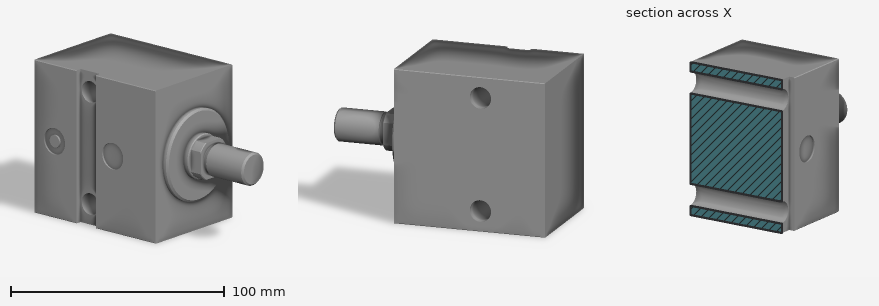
import cadquery as cq


BLOCK_SIDE = 75.0
BLOCK_DEPTH = 55.0
BLOCK_EDGE_CHAMFER = 0.3
FRONT_Y = -BLOCK_DEPTH / 2

SLOT_CENTRE_X = 32.0
SLOT_WIDTH = 12.0
SLOT_DEPTH = 3.0
MOUNT_HOLE_DIAMETER = 10.5
MOUNT_HOLE_SPACING = 55.0

REAR_PORT_X = 12.5
FRONT_PORT_X = 48.5
PORT_DIAMETER = 13.0
PORT_DEPTH = 1.0
PLUG_DIAMETER = 6.0

GLAND_DIAMETER = 45.0
GLAND_THICKNESS = 3.0
GLAND_CHAMFER = 1.0

ROD_START_X = BLOCK_SIDE
COLLAR_END_X = 81.0
WRENCH_END_X = 87.0
NECK_END_X = 89.5
ROD_TIP_X = 112.0
COLLAR_DIAMETER = 22.2
COLLAR_CHAMFER = 0.5
WRENCH_DIAMETER = 21.0
WRENCH_FLATS = 18.0
WRENCH_CHAMFER = 0.3
NECK_DIAMETER = 14.0
NECK_FILLET = 0.3
STUD_DIAMETER = 16.0
STUD_CHAMFER = 0.9


def x_cylinder(diameter, start_x, end_x):
    """Cylinder on the rod axis between two X positions."""
    return cq.Workplane("YZ", origin=(start_x, 0, 0)).circle(diameter / 2).extrude(end_x - start_x)


def front_cylinder(diameter, x, z, depth):
    """Cylinder that goes from the front face into the block along +Y."""
    return cq.Workplane("XZ", origin=(x, FRONT_Y, z)).circle(diameter / 2).extrude(-depth)


def make_housing():
    block = cq.Workplane("XY").box(BLOCK_SIDE, BLOCK_DEPTH, BLOCK_SIDE)
    block = block.translate((BLOCK_SIDE / 2, 0, 0)).edges("|X").chamfer(BLOCK_EDGE_CHAMFER)

    slot = cq.Workplane("XY").box(SLOT_WIDTH, 2 * SLOT_DEPTH, BLOCK_SIDE)
    block = block.cut(slot.translate((SLOT_CENTRE_X, FRONT_Y, 0)))

    for side in (-1, 1):
        hole_z = side * MOUNT_HOLE_SPACING / 2
        block = block.cut(front_cylinder(MOUNT_HOLE_DIAMETER, SLOT_CENTRE_X, hole_z, BLOCK_DEPTH))

    for port_x in (REAR_PORT_X, FRONT_PORT_X):
        block = block.cut(front_cylinder(PORT_DIAMETER, port_x, 0, PORT_DEPTH))
    return block


def make_plug():
    """Plug on the floor of the rear port, flush with the front face."""
    return front_cylinder(PLUG_DIAMETER, REAR_PORT_X, 0, PORT_DEPTH)


def make_gland():
    gland_end_x = BLOCK_SIDE + GLAND_THICKNESS
    ring = x_cylinder(GLAND_DIAMETER, BLOCK_SIDE, gland_end_x)
    ring = ring.faces(">X").edges().chamfer(GLAND_CHAMFER)
    return ring.cut(x_cylinder(COLLAR_DIAMETER, BLOCK_SIDE, gland_end_x))


def make_wrench_section():
    """Round section with four flats, square to Y and Z."""
    length = WRENCH_END_X - COLLAR_END_X
    round_bar = x_cylinder(WRENCH_DIAMETER, COLLAR_END_X, WRENCH_END_X)
    round_bar = round_bar.faces(">X").edges().chamfer(WRENCH_CHAMFER)
    square_bar = cq.Workplane("XY").box(length, WRENCH_FLATS, WRENCH_FLATS)
    return round_bar.intersect(square_bar.translate((COLLAR_END_X + length / 2, 0, 0)))


def make_neck():
    """Undercut behind the stud, flared by a small fillet at each end."""
    neck_radius = NECK_DIAMETER / 2
    flare_radius = neck_radius + NECK_FILLET
    profile = (
        cq.Workplane("XY")
        .moveTo(WRENCH_END_X, 0)
        .lineTo(WRENCH_END_X, flare_radius)
        .radiusArc((WRENCH_END_X + NECK_FILLET, neck_radius), -NECK_FILLET)
        .lineTo(NECK_END_X - NECK_FILLET, neck_radius)
        .radiusArc((NECK_END_X, flare_radius), -NECK_FILLET)
        .lineTo(NECK_END_X, 0)
        .close()
    )
    return profile.revolve(360, (0, 0, 0), (1, 0, 0))


def make_rod():
    collar = x_cylinder(COLLAR_DIAMETER, ROD_START_X, COLLAR_END_X)
    collar = collar.faces(">X").edges().chamfer(COLLAR_CHAMFER)
    stud = x_cylinder(STUD_DIAMETER, NECK_END_X, ROD_TIP_X)
    stud = stud.faces(">X").edges().chamfer(STUD_CHAMFER)
    return collar.union(make_wrench_section()).union(make_neck()).union(stud)


housing = make_housing()
plug = make_plug()
gland = make_gland()
rod = make_rod()

bodies = (housing, plug, gland, rod)
result = cq.Compound.makeCompound([body.solids().val() for body in bodies])